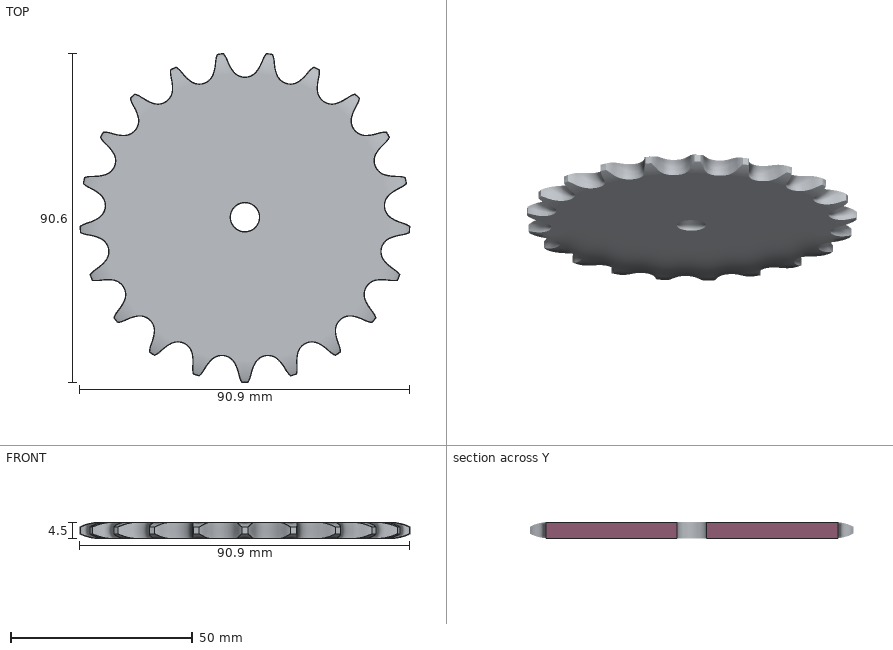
import cadquery as cq
import math

TOOTH_COUNT = 21
CHAIN_PITCH = 12.7
ROLLER_DIAMETER = 7.95
TIP_DIAMETER = 91.0
PLATE_THICKNESS = 4.5
BORE_DIAMETER = 8.0
FLANK_RELIEF_RADIUS = 13.0
FLANK_RELIEF_DROP = 1.3
FIRST_TOOTH_ANGLE = -90.0
GAP_CUTTER_ANGLE = 90.0
CUTTER_OVERSHOOT = 1.0

pitch_angle = 360.0 / TOOTH_COUNT
pitch_radius = CHAIN_PITCH / 2 / math.sin(math.radians(pitch_angle / 2))
tip_radius = TIP_DIAMETER / 2

SEATING_DIAMETER_FACTOR = 1.0005
SEATING_CLEARANCE = 0.0762
SEATING_ANGLE_BASE = 35.0
SEATING_ANGLE_PER_TOOTH = 60.0
WORKING_SPAN_BASE = 18.0
WORKING_SPAN_PER_TOOTH = 56.0
WORKING_OFFSET_FACTOR = 0.8
TOPPING_OFFSET_FACTOR = 1.4

seating_radius = (SEATING_DIAMETER_FACTOR * ROLLER_DIAMETER + SEATING_CLEARANCE) / 2
seating_end_angle = math.radians(SEATING_ANGLE_BASE + SEATING_ANGLE_PER_TOOTH / TOOTH_COUNT)
working_span = math.radians(WORKING_SPAN_BASE - WORKING_SPAN_PER_TOOTH / TOOTH_COUNT)
working_center_offset = WORKING_OFFSET_FACTOR * ROLLER_DIAMETER
working_radius = seating_radius + working_center_offset
topping_center_offset = TOPPING_OFFSET_FACTOR * ROLLER_DIAMETER


def polar(center, radius, angle):
    """Point at a radius and angle (radians) from a center."""
    return (center[0] + radius * math.cos(angle), center[1] + radius * math.sin(angle))


def mirror(point):
    """Point reflected in the centerline of a gap that lies on +Y."""
    return (-point[0], point[1])


def gap_side_points():
    """Right side of a gap centered on +Y, from the root outward to the tooth tip."""
    seat_center = (0, pitch_radius)
    root = (0, pitch_radius - seating_radius)
    seat_mid = polar(seat_center, seating_radius, -(math.pi / 2 + seating_end_angle) / 2)
    seat_end = polar(seat_center, seating_radius, -seating_end_angle)

    working_center = polar(seat_center, -working_center_offset, -seating_end_angle)
    working_end_angle = working_span - seating_end_angle
    working_mid = polar(working_center, working_radius, working_end_angle - working_span / 2)
    working_end = polar(working_center, working_radius, working_end_angle)

    topping_center = polar(seat_center, topping_center_offset, -math.radians(pitch_angle / 2))
    normal = (math.cos(working_end_angle), math.sin(working_end_angle))
    topping_radius = (
        (topping_center[0] - working_end[0]) * normal[0]
        + (topping_center[1] - working_end[1]) * normal[1]
    )
    topping_start_angle = working_end_angle + math.pi
    topping_start = polar(topping_center, topping_radius, topping_start_angle)

    center_distance = math.hypot(*topping_center)
    center_direction = math.atan2(topping_center[1], topping_center[0])
    cos_tip = (center_distance**2 + tip_radius**2 - topping_radius**2) / (2 * center_distance * tip_radius)
    tip = polar((0, 0), tip_radius, center_direction + math.acos(cos_tip))
    topping_end_angle = math.atan2(tip[1] - topping_center[1], tip[0] - topping_center[0])
    topping_mid = polar(topping_center, topping_radius, (topping_start_angle + topping_end_angle) / 2)
    return root, seat_mid, seat_end, working_mid, working_end, topping_start, topping_mid, tip


def gap_cutter():
    """Prism that clears the gap centered on +Y, open beyond the tip circle."""
    root, seat_mid, seat_end, working_mid, working_end, topping_start, topping_mid, tip = gap_side_points()
    outer_corner = (tip[0], tip_radius + CUTTER_OVERSHOOT)
    return (
        cq.Workplane("XY")
        .workplane(offset=-PLATE_THICKNESS / 2)
        .moveTo(*mirror(outer_corner))
        .lineTo(*mirror(tip))
        .threePointArc(mirror(topping_mid), mirror(topping_start))
        .lineTo(*mirror(working_end))
        .threePointArc(mirror(working_mid), mirror(seat_end))
        .threePointArc(mirror(seat_mid), root)
        .threePointArc(seat_mid, seat_end)
        .threePointArc(working_mid, working_end)
        .lineTo(*topping_start)
        .threePointArc(topping_mid, tip)
        .lineTo(*outer_corner)
        .close()
        .extrude(PLATE_THICKNESS, clean=False)
    )


def cut_gaps(blank):
    """Cut every tooth gap; the face joints at each gap root are kept."""
    cutter = gap_cutter()
    for index in range(TOOTH_COUNT):
        turn = (index + 0.5) * pitch_angle + FIRST_TOOTH_ANGLE - GAP_CUTTER_ANGLE
        blank = blank.cut(cutter.rotate((0, 0, 0), (0, 0, 1), turn), clean=False)
    return blank


def blank_disc():
    """Disc of the tip diameter with faces that curve together toward the rim."""
    half = PLATE_THICKNESS / 2
    relief_depth = math.sqrt(FLANK_RELIEF_RADIUS**2 - (FLANK_RELIEF_RADIUS - FLANK_RELIEF_DROP) ** 2)
    flat_radius = tip_radius - relief_depth
    mid_angle = math.asin(relief_depth / FLANK_RELIEF_RADIUS) / 2
    mid_radius = flat_radius + FLANK_RELIEF_RADIUS * math.sin(mid_angle)
    mid_height = half - FLANK_RELIEF_RADIUS * (1 - math.cos(mid_angle))
    tip_height = half - FLANK_RELIEF_DROP
    return (
        cq.Workplane("XZ")
        .moveTo(0, -half)
        .lineTo(flat_radius, -half)
        .threePointArc((mid_radius, -mid_height), (tip_radius, -tip_height))
        .lineTo(tip_radius, tip_height)
        .threePointArc((mid_radius, mid_height), (flat_radius, half))
        .lineTo(0, half)
        .close()
        .revolve(360, (0, 0, 0), (0, 1, 0))
    )


def bore():
    """Cylinder through the plate on the sprocket axis."""
    return (
        cq.Workplane("XY")
        .workplane(offset=-PLATE_THICKNESS / 2)
        .circle(BORE_DIAMETER / 2)
        .extrude(PLATE_THICKNESS)
    )


result = cut_gaps(blank_disc().cut(bore()))